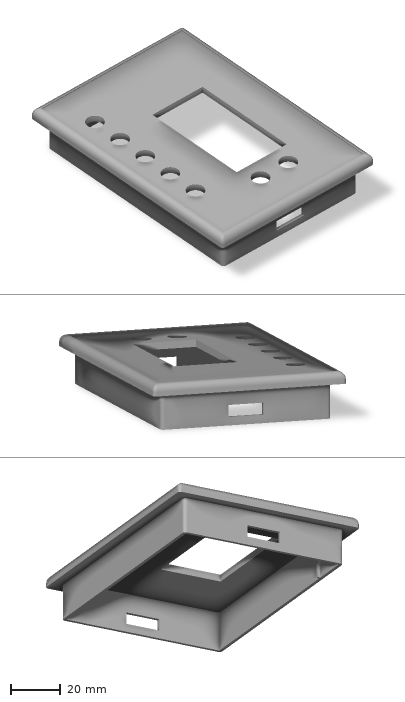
import cadquery as cq

length = 116.0
width = 83.0
height = 20.0
bezel_thickness = 5.0
bezel_corner_radius = 1.4
bezel_top_radius = 3.0
face_recess_depth = 0.3

body_length = 106.3
body_width = 73.3
body_corner_radius = 1.6
body_draft = 0.5
wall = 1.6
panel_thickness = 3.0

window_left = -22.0
window_length = 50.9
window_bottom = -7.4
window_width = 27.4

button_diameter = 8.0
button_pitch = 15.2
row_first_x = -34.2
row_y = -27.8
row_count = 5
column_x = 37.9
column_first_y = -2.5
column_count = 2

slot_width = 15.0
slot_height = 5.0
slot_bottom = 3.5

rib_left = 34.8
rib_thickness = 1.3
rib_depth = 1.2

body_height = height - bezel_thickness
cavity_height = height - face_recess_depth - panel_thickness
cavity_length = body_length - 2 * wall
cavity_width = body_width - 2 * wall


def block(x_size, y_size, z_size, bottom):
    """Box centred in X and Y with its underside at the given height."""
    return (
        cq.Workplane("XY", origin=(0, 0, bottom))
        .box(x_size, y_size, z_size, centered=(True, True, False))
    )


def make_bezel():
    bezel = block(length, width, bezel_thickness, body_height)
    bezel = bezel.faces(">Z").edges().fillet(bezel_top_radius)
    return bezel.edges("|Z").fillet(bezel_corner_radius)


def make_body():
    outline = cq.Sketch().rect(body_length, body_width).vertices().fillet(body_corner_radius)
    return (
        cq.Workplane("XY", origin=(0, 0, body_height))
        .placeSketch(outline)
        .extrude(-body_height, taper=body_draft)
    )


def button_holes():
    row = [(row_first_x + i * button_pitch, row_y) for i in range(row_count)]
    column = [(column_x, column_first_y + i * button_pitch) for i in range(column_count)]
    return cq.Workplane("XY").pushPoints(row + column).circle(button_diameter / 2).extrude(height)


face_recess = block(
    length - 2 * bezel_top_radius,
    width - 2 * bezel_top_radius,
    face_recess_depth,
    height - face_recess_depth,
)
window = (
    cq.Workplane("XY", origin=(window_left, window_bottom, 0))
    .box(window_length, window_width, height, centered=False)
)
cavity = block(cavity_length, cavity_width, cavity_height, 0)
end_slots = block(length, slot_width, slot_height, slot_bottom)
rib = (
    cq.Workplane("XY", origin=(rib_left, cavity_width / 2 - rib_depth, 0))
    .box(rib_thickness, rib_depth, cavity_height, centered=False)
)

result = (
    make_bezel()
    .union(make_body())
    .cut(face_recess)
    .cut(cavity)
    .cut(window)
    .cut(button_holes())
    .cut(end_slots)
    .union(rib)
)